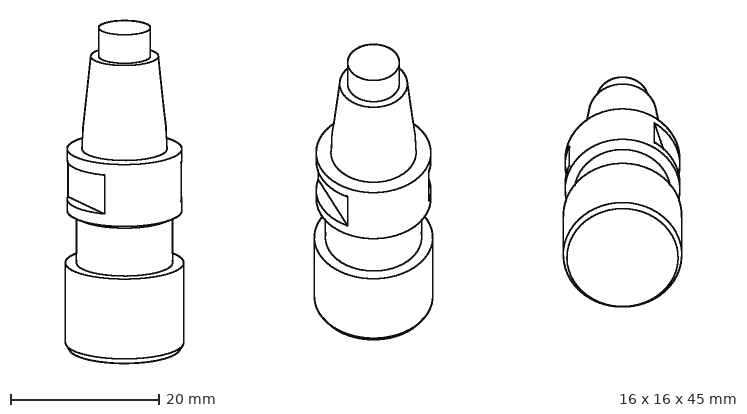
import cadquery as cq

BODY_DIAMETER = 16.0
BODY_TOP = 12.0
BODY_CHAMFER_WIDTH = 0.5
BODY_CHAMFER_HEIGHT = 0.8

NECK_DIAMETER = 13.0
NECK_TOP = 18.72

COLLAR_DIAMETER = 15.5
COLLAR_TOP = 28.0
COLLAR_CHAMFER_HEIGHT = 0.6

CONE_BASE_DIAMETER = 11.5
CONE_SHOULDER_DIAMETER = 11.25
CONE_SHOULDER_Z = 30.9
CONE_TOP_DIAMETER = 9.15
CONE_TOP = 41.0

PIN_DIAMETER = 7.0
TOTAL_HEIGHT = 45.0

FLAT_SPACING = 12.0
FLAT_BOTTOM = 20.93
FLAT_HEIGHT = 5.45


def turned_body():
    """Revolve the half profile (radius, height) around Z."""
    body_radius = BODY_DIAMETER / 2
    neck_radius = NECK_DIAMETER / 2
    collar_radius = COLLAR_DIAMETER / 2
    pin_radius = PIN_DIAMETER / 2
    profile = [
        (0, 0),
        (body_radius - BODY_CHAMFER_WIDTH, 0),
        (body_radius, BODY_CHAMFER_HEIGHT),
        (body_radius, BODY_TOP),
        (neck_radius, BODY_TOP),
        (neck_radius, NECK_TOP),
        (collar_radius, NECK_TOP + COLLAR_CHAMFER_HEIGHT),
        (collar_radius, COLLAR_TOP),
        (CONE_BASE_DIAMETER / 2, COLLAR_TOP),
        (CONE_SHOULDER_DIAMETER / 2, CONE_SHOULDER_Z),
        (CONE_TOP_DIAMETER / 2, CONE_TOP),
        (pin_radius, CONE_TOP),
        (pin_radius, TOTAL_HEIGHT),
        (0, TOTAL_HEIGHT),
    ]
    return cq.Workplane("XZ").polyline(profile).close().revolve(360, (0, 0), (0, 1))


def cut_wrench_flats(part):
    """Remove everything beyond the flats on the -Y and +Y sides of the collar."""
    cutter_depth = COLLAR_DIAMETER / 2
    center_offset = FLAT_SPACING / 2 + cutter_depth / 2
    for side in (-1, 1):
        cutter = (
            cq.Workplane("XY")
            .box(BODY_DIAMETER, cutter_depth, FLAT_HEIGHT, centered=(True, True, False))
            .translate((0, side * center_offset, FLAT_BOTTOM))
        )
        part = part.cut(cutter)
    return part


result = cut_wrench_flats(turned_body())